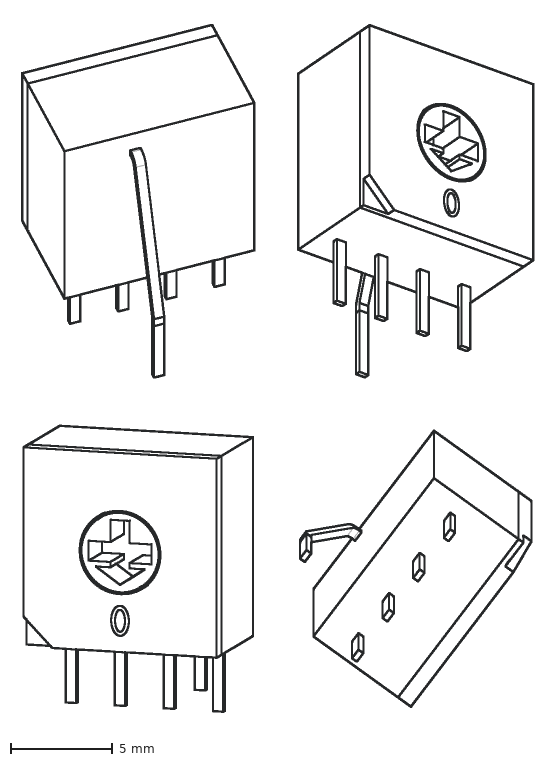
import cadquery as cq
import math


case_size = 10.0
case_depth = 6.0
lid_thickness = 0.8
lid_corner_cut = 1.5
lid_corner_depth = 0.5
centre_z = case_size / 2

rotor_radius = 2.0
lid_hole_radius = 2.09
rotor_length = 3.0
slot_depth = 2.2

slot_width = 1.0
slot_half_span = 1.62
arrow_shoulder_drop = 0.77
arrow_half_width = 1.25

mark_drop = 3.43
mark_half_width = 0.46
mark_half_height = 0.75
mark_stroke = 0.2
mark_depth = 0.1

pin_thickness = 0.3
pin_width = 0.54
overall_height = 13.5
pin_length = overall_height - case_size
pin_pitch = 2.54
pin_count = 4
row_spacing = 2 * pin_pitch
overall_depth = 9.38
common_pin_x = overall_depth - pin_thickness / 2
front_row_x = common_pin_x - row_spacing
common_pin_y = -pin_pitch / 2

arm_z = 8.78
arm_stub = 0.14
arm_bend_radius = 0.53
arm_lean = math.radians(18.1)


def cylinder_x(radius, start_x, length):
    """Cylinder along +X on the rotor axis."""
    return cq.Workplane("YZ", origin=(start_x, 0, centre_z)).circle(radius).extrude(length)


def make_housing():
    housing_depth = case_depth - lid_thickness
    block = cq.Workplane("YZ", origin=(lid_thickness, 0, centre_z)).rect(case_size, case_size)
    return block.extrude(housing_depth).cut(cylinder_x(rotor_radius, 0, rotor_length))


def make_zero_mark():
    plane = cq.Workplane("YZ", origin=(0, 0, centre_z - mark_drop))
    outer = plane.ellipse(mark_half_width, mark_half_height).extrude(mark_depth)
    inner = plane.ellipse(mark_half_width - mark_stroke, mark_half_height - mark_stroke).extrude(mark_depth)
    return outer.cut(inner)


def make_corner_notch():
    """Triangular notch in the lower +Y corner of the lid face."""
    corner_y = case_size / 2
    triangle = [(corner_y, 0), (corner_y - lid_corner_cut, 0), (corner_y, lid_corner_cut)]
    return cq.Workplane("YZ").polyline(triangle).close().extrude(lid_corner_depth)


def make_lid():
    plate = cq.Workplane("YZ", origin=(0, 0, centre_z)).rect(case_size, case_size).extrude(lid_thickness)
    plate = plate.cut(make_corner_notch())
    plate = plate.cut(cylinder_x(lid_hole_radius, 0, lid_thickness))
    return plate.cut(make_zero_mark())


def make_rotor():
    half = slot_width / 2
    right_side = [
        (half, slot_half_span),
        (half, half),
        (slot_half_span, half),
        (slot_half_span, -half),
        (half, -half),
        (half, -arrow_shoulder_drop),
        (arrow_half_width, -arrow_shoulder_drop),
    ]
    left_side = [(-y, z) for y, z in reversed(right_side)]
    arrow_tip = (0, -slot_half_span)
    outline = right_side + [arrow_tip] + left_side
    slot = cq.Workplane("YZ", origin=(0, 0, centre_z)).polyline(outline).close().extrude(slot_depth)
    return cylinder_x(rotor_radius, 0, rotor_length).cut(slot)


def make_pin(x, y):
    """Straight terminal hanging from the level of the housing underside."""
    return cq.Workplane("XY", origin=(x, y, 0)).rect(pin_thickness, pin_width).extrude(-pin_length)


def make_common_arm():
    bend_x = case_depth + arm_stub
    bend_centre_z = arm_z - arm_bend_radius

    def on_bend(angle):
        """Point on the bend, with the angle measured from the +X direction."""
        return (
            bend_x + arm_bend_radius * math.cos(angle),
            bend_centre_z + arm_bend_radius * math.sin(angle),
        )

    bend_end = on_bend(arm_lean)
    bend_middle = on_bend((arm_lean + math.pi / 2) / 2)
    knee_z = bend_end[1] - (common_pin_x - bend_end[0]) / math.tan(arm_lean)
    path = (
        cq.Workplane("XZ", origin=(0, common_pin_y, 0))
        .moveTo(case_depth, arm_z)
        .lineTo(bend_x, arm_z)
        .threePointArc(bend_middle, bend_end)
        .lineTo(common_pin_x, knee_z)
        .lineTo(common_pin_x, 0)
    )
    section = cq.Workplane("YZ", origin=(case_depth, common_pin_y, arm_z)).rect(pin_width, pin_thickness)
    return section.sweep(path, transition="right")


housing = make_housing()
lid = make_lid()
zero_mark = make_zero_mark()
rotor = make_rotor()
front_pins = [
    make_pin(front_row_x, (i - (pin_count - 1) / 2) * pin_pitch)
    for i in range(pin_count)
]
common_arm = make_common_arm()
common_pin = make_pin(common_pin_x, common_pin_y)

result = cq.Compound.makeCompound([
    housing.val(),
    lid.val(),
    zero_mark.val(),
    rotor.val(),
    *[pin.val() for pin in front_pins],
    common_arm.val(),
    common_pin.val(),
])